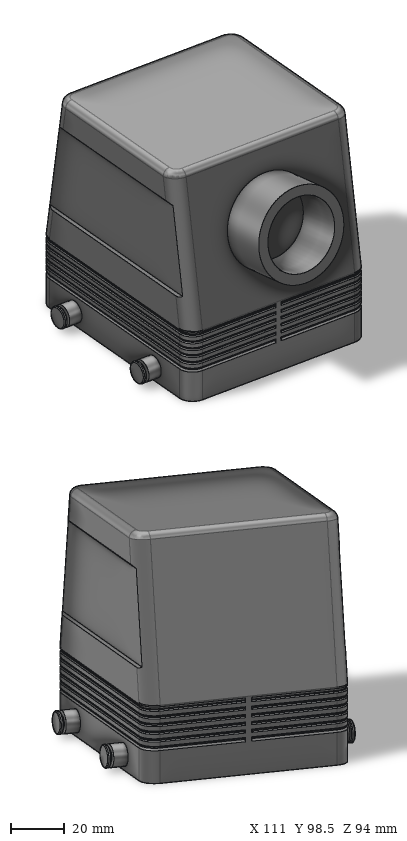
import cadquery as cq
import math


body_length = 93.5
body_width = 82.5
body_height = 94.0
base_height = 30.2
taper_angle = 9.4
corner_radius = 6.1
top_edge_radius = 2.9

groove_count = 6
groove_pitch = 2.96
first_groove_floor = 13.5
groove_floor = 0.42
groove_depth = 0.4
inner_slope = 0.42
outer_slope = 0.84
bridge_width = 2.5

recess_bottom = 43.2
recess_top = 81.3
recess_depth = 0.9

tube_outer_diameter = 39.1
tube_bore_diameter = 30.6
tube_length = 19.9
tube_distance_up_wall = 32.8
tube_root = 3.3

pin_spacing = 49.6
pin_height = 6.1
pin_span = 98.5
pin_diameter = 9.0
neck_diameter = 5.1
neck_length = 0.9
head_thickness = 1.4
head_chamfer = 0.39

half_length = body_length / 2
half_width = body_width / 2
taper_tangent = math.tan(math.radians(taper_angle))


def rounded_section(inset, height):
    """Horizontal section of the base, shrunk by inset and placed at the given height."""
    section = cq.Sketch().rect(body_length - 2 * inset, body_width - 2 * inset)
    section = section.vertices().fillet(corner_radius - inset)
    return section.moved(cq.Location(cq.Vector(0, 0, height)))


def make_base():
    return cq.Workplane("XY").placeSketch(rounded_section(0, 0)).extrude(base_height)


def make_tapered_top():
    top_half_length = half_length - (body_height - base_height) * taper_tangent
    top = (
        cq.Workplane("XZ")
        .moveTo(-half_length, base_height)
        .lineTo(half_length, base_height)
        .lineTo(top_half_length, body_height)
        .lineTo(-top_half_length, body_height)
        .close()
        .extrude(half_width, both=True)
    )
    leaning_edges = top.edges("not(#Z or #X)")
    top = leaning_edges.fillet(corner_radius)
    return top.faces(">Z").edges().fillet(top_edge_radius)


def make_groove(floor_bottom, lower_slope, upper_slope):
    """Ring of material to remove for one groove, left uncut at the end-wall bridges."""
    bottom = floor_bottom - lower_slope
    floor_top = floor_bottom + groove_floor
    top = floor_top + upper_slope
    levels = [(0, bottom), (groove_depth, floor_bottom), (groove_depth, floor_top), (0, top)]

    ring = cq.Workplane("XY").placeSketch(rounded_section(0, bottom)).extrude(top - bottom)
    for lower, upper in zip(levels, levels[1:]):
        waist = cq.Workplane("XY").placeSketch(rounded_section(*lower), rounded_section(*upper)).loft()
        ring = ring.cut(waist)
    bridge = cq.Workplane("XY").box(body_length, bridge_width, 2 * base_height)
    return ring.cut(bridge)


def make_recess(side):
    """Wedge-ended slab removed from one Y side (side is +1 or -1)."""
    outer = side * half_width
    inner = side * (half_width - recess_depth)
    return (
        cq.Workplane("YZ")
        .moveTo(outer, recess_bottom)
        .lineTo(inner, recess_bottom + recess_depth)
        .lineTo(inner, recess_top - recess_depth)
        .lineTo(outer, recess_top)
        .close()
        .extrude(half_length, both=True)
    )


def make_tube_plane():
    """Plane on the leaning +X wall, its normal along the tube axis."""
    lean = math.radians(taper_angle)
    origin = (
        half_length - tube_distance_up_wall * math.sin(lean),
        0,
        base_height + tube_distance_up_wall * math.cos(lean),
    )
    return cq.Plane(origin=origin, xDir=(0, 1, 0), normal=(math.cos(lean), 0, math.sin(lean)))


def make_pin(x, side):
    """Pin with a necked head, turned about an axis along Y."""
    shaft_radius = pin_diameter / 2
    neck_radius = neck_diameter / 2
    chamfer_radius = shaft_radius - head_chamfer
    tip = pin_span / 2
    head_back = tip - head_thickness
    shaft_end = head_back - neck_length
    root = half_width - corner_radius
    profile = [
        (0, root),
        (shaft_radius, root),
        (shaft_radius, shaft_end),
        (neck_radius, shaft_end),
        (neck_radius, head_back),
        (chamfer_radius, head_back),
        (shaft_radius, head_back + head_chamfer),
        (shaft_radius, tip - head_chamfer),
        (chamfer_radius, tip),
        (0, tip),
    ]
    points = [(radius, side * y) for radius, y in profile]
    pin = cq.Workplane("XY").polyline(points).close().revolve(360, (0, 0), (0, 1))
    return pin.translate((x, 0, pin_height))


body = make_base().union(make_tapered_top())

for index in range(groove_count):
    lower_slope = outer_slope if index == 0 else inner_slope
    upper_slope = outer_slope if index == groove_count - 1 else inner_slope
    floor_bottom = first_groove_floor + index * groove_pitch
    body = body.cut(make_groove(floor_bottom, lower_slope, upper_slope))

for side in (-1, 1):
    body = body.cut(make_recess(side))
    for x in (-pin_spacing / 2, pin_spacing / 2):
        body = body.union(make_pin(x, side))

tube_plane = make_tube_plane()
tube = (
    cq.Workplane(tube_plane)
    .workplane(offset=-tube_root)
    .circle(tube_outer_diameter / 2)
    .extrude(tube_root + tube_length)
)
bore = cq.Workplane(tube_plane).circle(tube_bore_diameter / 2).extrude(tube_length)

result = body.union(tube).cut(bore)